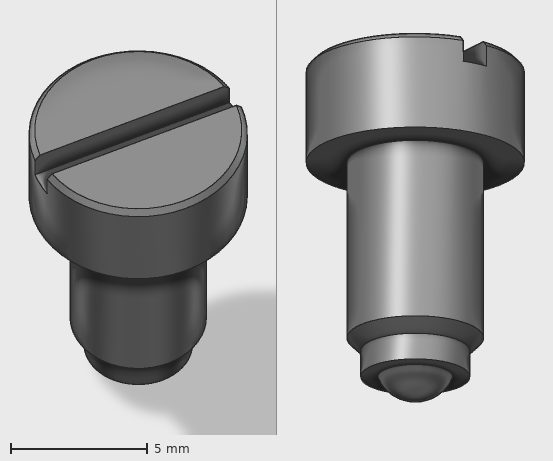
import cadquery as cq
import math

total_length = 12.9
head_diameter = 8.0
shank_diameter = 5.0
tip_diameter = 4.0
ball_radius = 1.5

head_height = 3.7
head_chamfer = 0.2
tip_length = 0.99
ball_protrusion = 0.9

slot_width = 1.0
slot_depth = 1.0

tip_bottom = ball_protrusion
tip_top = tip_bottom + tip_length
taper_height = (shank_diameter - tip_diameter) / 2
shank_bottom = tip_top + taper_height
head_bottom = total_length - head_height

ball_rim_radius = math.sqrt(ball_radius**2 - (ball_radius - ball_protrusion)**2)

half_arc_angle = math.asin(ball_rim_radius / ball_radius) / 2
ball_arc_middle = (
    ball_radius * math.sin(half_arc_angle),
    ball_radius * (1 - math.cos(half_arc_angle)),
)


def make_turned_body():
    """Revolve the half profile of the ball, tip, shank and head about Z."""
    head_radius = head_diameter / 2
    return (
        cq.Workplane("XZ")
        .moveTo(0, 0)
        .threePointArc(ball_arc_middle, (ball_rim_radius, tip_bottom))
        .lineTo(tip_diameter / 2, tip_bottom)
        .lineTo(tip_diameter / 2, tip_top)
        .lineTo(shank_diameter / 2, shank_bottom)
        .lineTo(shank_diameter / 2, head_bottom)
        .lineTo(head_radius, head_bottom)
        .lineTo(head_radius, total_length - head_chamfer)
        .lineTo(head_radius - head_chamfer, total_length)
        .lineTo(0, total_length)
        .close()
        .revolve(360, (0, 0), (0, 1))
    )


def make_slot():
    """Cutter for the slot running along Y across the whole head."""
    return (
        cq.Workplane("XY")
        .workplane(offset=total_length - slot_depth)
        .rect(slot_width, 2 * head_diameter)
        .extrude(2 * slot_depth)
    )


result = make_turned_body().cut(make_slot())